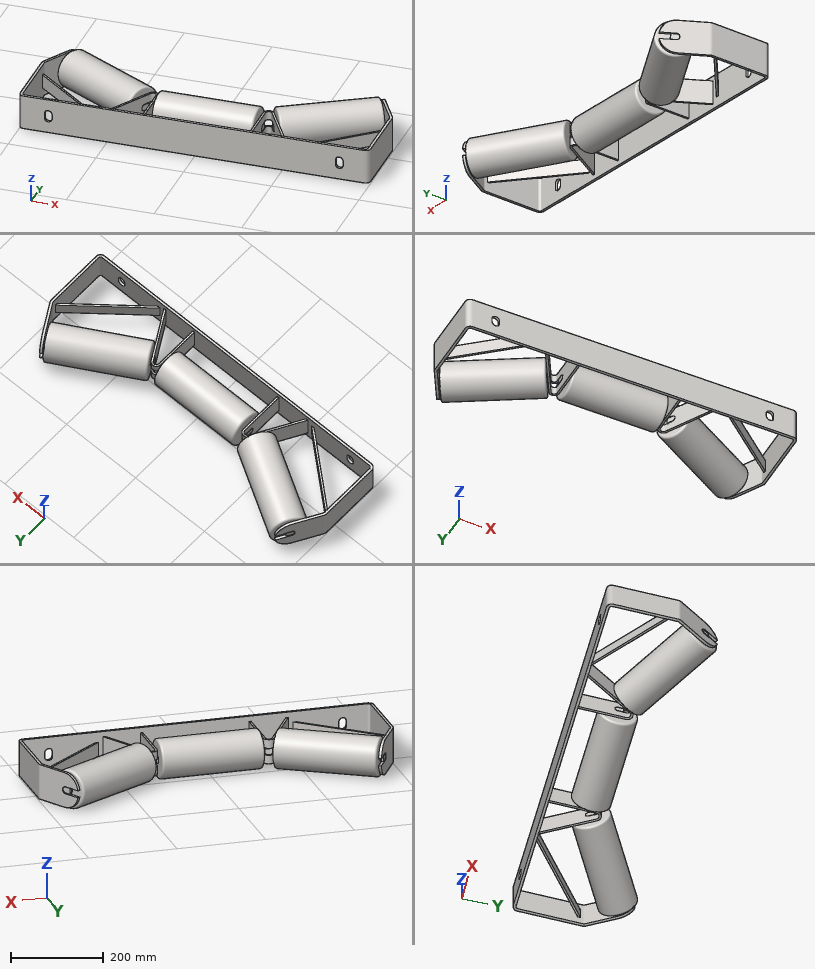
import cadquery as cq
import math

frame_length = 800.0
frame_height = 80.0
wing_end_drop = 4.0
frame_thickness = 6.0
bend_radius = 12.0
wing_bend_y = 162.0
trough_angle = 30.0

mount_x = 332.0
mount_width = 18.0
mount_height = 27.0

roller_diameter = 89.0
roller_length = 230.0
roller_edge_radius = 5.0
middle_seat_span = 240.0
middle_roller_y = 100.0
outer_roller_y = 168.0
spindle_diameter = 20.0
flats_width = 14.0
slot_width = 16.0

bracket_height = 56.0
bracket_thickness = 5.0
bracket_top_y = 128.0

brace_height = 32.0
brace_thickness = 5.0
brace_angle = 40.0
brace_wall_y = 152.0

half_length = frame_length / 2
half_middle_span = middle_seat_span / 2
spindle_radius = spindle_diameter / 2
tilt = math.radians(trough_angle)
axis_x = math.cos(tilt)
axis_y = math.sin(tilt)

fold_x = half_middle_span + bend_radius
fold_y = bracket_top_y - bend_radius

inner_seat = fold_x * axis_x + fold_y * axis_y + bend_radius
outer_seat = half_length * axis_x + wing_bend_y * axis_y - frame_thickness
outer_seat_span = outer_seat - inner_seat
outer_roller_x = ((inner_seat + outer_seat) / 2 - outer_roller_y * axis_y) / axis_x

roller_stations = [
    (-outer_roller_x, outer_roller_y, -trough_angle, outer_seat_span),
    (0.0, middle_roller_y, 0.0, middle_seat_span),
    (outer_roller_x, outer_roller_y, trough_angle, outer_seat_span),
]


def placed(shape, x, y, angle):
    """Turn a shape made along X at the origin and move it to its place."""
    return shape.rotate((0, 0, 0), (0, 0, 1), angle).translate((x, y, 0))


def prism(points, height):
    """A polygon in the XY plane extruded evenly to both sides of it."""
    return cq.Workplane("XY").polyline(points).close().extrude(height / 2, both=True)


def bent_strip(outer, height, thickness):
    """A strip with the given outer corners, thickened to the left of the path and rounded at its bends."""
    headings = [math.atan2(b[1] - a[1], b[0] - a[0]) for a, b in zip(outer, outer[1:])]
    arriving = headings[:1] + headings
    leaving = headings + headings[-1:]
    inner = []
    for (x, y), before, after in zip(outer, arriving, leaving):
        mitre = (before + after) / 2 + math.pi / 2
        reach = thickness / math.cos((after - before) / 2)
        inner.append((x + reach * math.cos(mitre), y + reach * math.sin(mitre)))
    strip = prism(outer + inner[::-1], height)
    for corners, radius in ((outer, bend_radius), (inner, bend_radius - thickness)):
        for x, y in corners[1:-1]:
            strip = strip.edges(cq.NearestToPointSelector((x, y, 0))).fillet(radius)
    return strip


def trimmed_at_back_wall(body):
    """Cut a body off flush with the inner face of the back wall."""
    back = cq.Workplane("XY").box(frame_length, frame_length, 2 * frame_height)
    return body.cut(back.translate((0, frame_thickness - half_length, 0)))


def seat_profile(side, span, depth, width, top):
    """Upright bar at one end (-1 or 1) of a roller along X, its round bottom level with the spindle's."""
    arc_y = width / 2 - spindle_radius
    bar = (
        cq.Workplane("YZ")
        .moveTo(top, -width / 2)
        .lineTo(arc_y, -width / 2)
        .threePointArc((-spindle_radius, 0), (arc_y, width / 2))
        .lineTo(top, width / 2)
        .close()
        .extrude(side * depth)
    )
    return bar.translate((side * span / 2, 0, 0))


def seat_slot(side, span, depth):
    """Cutter for the slot, open at the top, that holds one spindle end."""
    return seat_profile(side, span, depth, slot_width, frame_height)


def roller(x, y, angle, span):
    """Roller with its spindle; its flattened ends reach through the brackets and into the wings."""
    body = (
        cq.Workplane("YZ", origin=(-roller_length / 2, 0, 0))
        .circle(roller_diameter / 2)
        .extrude(roller_length)
        .edges("%CIRCLE")
        .fillet(roller_edge_radius)
    )
    spindle = cq.Workplane("YZ").circle(spindle_radius).extrude(span / 2, both=True)
    body = body.union(spindle)
    for side in (-1, 1):
        body = body.union(seat_profile(side, span, bracket_thickness, flats_width, spindle_radius))
    return placed(body, x, y, angle)


def wing_rounding(x, y, angle, span):
    """Material to remove beyond the half-round end of a wing."""
    side = math.copysign(1, angle)
    beyond = cq.Workplane("XY").box(2 * bend_radius, 2 * frame_height, 2 * frame_height)
    beyond = beyond.translate((side * span / 2, frame_height, 0))
    round_end = cq.Workplane("YZ").circle(frame_height / 2).extrude(side * span)
    rounding = beyond.cut(round_end).translate((0, -wing_end_drop, 0))
    return placed(rounding, x, y, angle)


def frame():
    wing_length = half_length / 2
    tip = (half_length - wing_length * axis_y, wing_bend_y + wing_length * axis_x)
    right = [(half_length, 0), (half_length, wing_bend_y), tip]
    left = [(-x, y) for x, y in reversed(right)]
    body = bent_strip(left + right, frame_height, frame_thickness)
    for x, y, angle, span in (roller_stations[0], roller_stations[-1]):
        side = math.copysign(1, angle)
        body = body.cut(wing_rounding(x, y, angle, span))
        body = body.cut(placed(seat_slot(side, span, frame_thickness), x, y, angle))
    mounts = (
        cq.Workplane("XZ")
        .pushPoints([(-mount_x, 0), (mount_x, 0)])
        .slot2D(mount_height, mount_width, 90)
        .extrude(frame_thickness, both=True)
    )
    return body.cut(mounts)


def bracket(side):
    """Folded bracket right (1) or left (-1) of the middle roller, slotted for both spindles."""
    apex_x = half_middle_span
    apex_y = (inner_seat - apex_x * axis_x) / axis_y
    foot_x = inner_seat / axis_x
    corners = [(foot_x, 0), (apex_x, apex_y), (apex_x, 0)]
    body = bent_strip(corners, bracket_height, bracket_thickness)
    body = trimmed_at_back_wall(body)
    body = body.cut(placed(seat_slot(1, middle_seat_span, bend_radius), 0, middle_roller_y, 0))
    slot = seat_slot(-1, outer_seat_span, bend_radius)
    body = body.cut(placed(slot, outer_roller_x, outer_roller_y, trough_angle))
    return body if side > 0 else body.mirror("YZ")


def brace(side):
    """Flat bar from the right (1) or left (-1) side wall down to the back wall."""
    slope = math.radians(brace_angle)
    wall_x = half_length - frame_thickness
    foot_x = wall_x - (brace_wall_y - frame_thickness) / math.tan(slope)
    profile = [
        (wall_x, brace_wall_y),
        (foot_x, frame_thickness),
        (foot_x + brace_thickness / math.sin(slope), frame_thickness),
        (wall_x, brace_wall_y - brace_thickness / math.cos(slope)),
    ]
    return prism([(side * x, y) for x, y in profile], brace_height)


rollers = [roller(*station) for station in roller_stations]
brackets = [bracket(side) for side in (-1, 1)]
braces = [brace(side) for side in (-1, 1)]

result = cq.Compound.makeCompound(
    [body.val() for body in [frame(), *brackets, *braces, *rollers]]
)